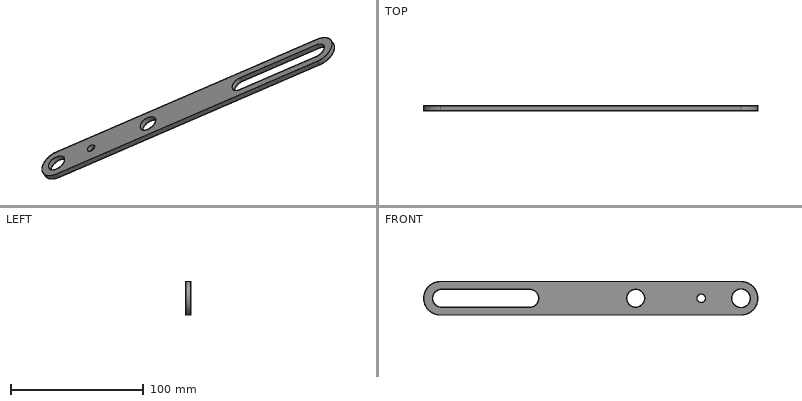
import cadquery as cq

length = 253.0
width = 25.5
thickness = 4.0

end_center_x = (length - width) / 2

slot_width = 13.5
slot_length = 80.2
slot_end_margin = 6.8
slot_center_x = -length / 2 + slot_end_margin + slot_length / 2

middle_hole_diameter = 13.5
end_hole_diameter = 14.0
small_hole_diameter = 6.3
middle_hole_x = end_center_x - 79.7
small_hole_x = end_center_x - 30.0


def hole(diameter, center_x):
    """Round cutter through the thickness, on the bar's centerline."""
    return (
        cq.Workplane("XZ")
        .center(center_x, 0)
        .circle(diameter / 2)
        .extrude(thickness / 2, both=True)
    )


def rounded_bar(bar_length, bar_width, center_x):
    """Full-round-ended solid spanning the thickness."""
    return (
        cq.Workplane("XZ")
        .center(center_x, 0)
        .slot2D(bar_length, bar_width)
        .extrude(thickness / 2, both=True)
    )


result = rounded_bar(length, width, 0)
result = result.cut(rounded_bar(slot_length, slot_width, slot_center_x))
result = result.cut(hole(middle_hole_diameter, middle_hole_x))
result = result.cut(hole(end_hole_diameter, end_center_x))
result = result.cut(hole(small_hole_diameter, small_hole_x))